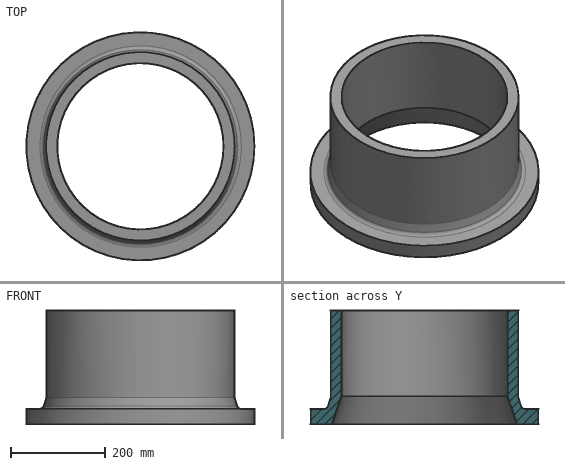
import cadquery as cq
import math

flange_diameter = 485.0
flange_thickness = 33.0
tube_diameter = 400.0
bore_diameter = 352.5
total_height = 242.0

hub_top_height = 57.0
hub_taper = math.radians(17)
hub_fillet_radius = 8.5

bore_mouth_diameter = 393.0
bore_flare_height = 59.0

flange_radius = flange_diameter / 2
tube_radius = tube_diameter / 2
bore_radius = bore_diameter / 2
bore_mouth_radius = bore_mouth_diameter / 2

fillet_center_height = flange_thickness + hub_fillet_radius
cone_foot_height = fillet_center_height - hub_fillet_radius * math.sin(hub_taper)
cone_foot_radius = tube_radius + (hub_top_height - cone_foot_height) * math.tan(hub_taper)
fillet_foot_radius = cone_foot_radius + hub_fillet_radius * math.cos(hub_taper)

fillet_mid_angle = (math.pi / 2 + hub_taper) / 2
fillet_mid_radius = fillet_foot_radius - hub_fillet_radius * math.cos(fillet_mid_angle)
fillet_mid_height = fillet_center_height - hub_fillet_radius * math.sin(fillet_mid_angle)

section = (
    cq.Workplane("XZ")
    .moveTo(bore_mouth_radius, 0)
    .lineTo(flange_radius, 0)
    .lineTo(flange_radius, flange_thickness)
    .lineTo(fillet_foot_radius, flange_thickness)
    .threePointArc((fillet_mid_radius, fillet_mid_height), (cone_foot_radius, cone_foot_height))
    .lineTo(tube_radius, hub_top_height)
    .lineTo(tube_radius, total_height)
    .lineTo(bore_radius, total_height)
    .lineTo(bore_radius, bore_flare_height)
    .close()
)

result = section.revolve(360, (0, 0, 0), (0, 1, 0))